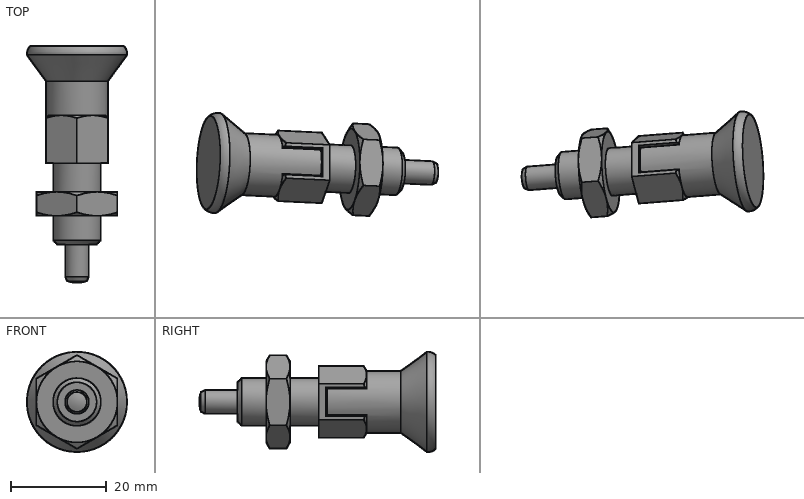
import cadquery as cq
import math

total_length = 49.5

pin_radius = 5.0 / 2
pin_tip_radius = 2.1
pin_dome_height = 0.4
pin_taper_length = 0.9

barrel_radius = 10.0 / 2
barrel_start = 8.0
barrel_chamfer = 0.9

nut_across_flats = 16.95
nut_start = 14.0
nut_thickness = 5.0
sleeve_across_flats = 13.0
sleeve_start = 25.0
sleeve_length = 10.0
sleeve_end = sleeve_start + sleeve_length
corner_bevel_angle = math.radians(30)

shank_radius = sleeve_across_flats / 2
knob_radius = 21.0 / 2
knob_face_radius = 9.75
knob_flare_start = 42.15
knob_rim_start = 47.6
knob_rim_end = 48.1
knob_back_bulge = 0.15

slot_half_width = 3.0
slot_start = sleeve_start + 1.5
slot_gap = 0.3
slot_floor = barrel_radius


def revolve_about_y(profile):
    return profile.close().revolve(360, (0, 0, 0), (0, 1, 0))


def hexagon(across_flats, start, length, bevel_start, bevel_end):
    """Hexagonal prism along Y with conical corner bevels on the chosen ends."""
    flat_radius = across_flats / 2
    corner_radius = flat_radius / math.cos(math.pi / 6)
    bevel_depth = (corner_radius - flat_radius) * math.tan(corner_bevel_angle)
    end = start + length

    prism = (
        cq.Workplane("XZ", origin=(0, start, 0))
        .transformed(rotate=(0, 0, 90))
        .polygon(6, 2 * corner_radius)
        .extrude(-length)
    )
    envelope = cq.Workplane("XY").moveTo(0, start)
    if bevel_start:
        envelope = envelope.lineTo(flat_radius, start).lineTo(corner_radius, start + bevel_depth)
    else:
        envelope = envelope.lineTo(corner_radius, start)
    if bevel_end:
        envelope = envelope.lineTo(corner_radius, end - bevel_depth).lineTo(flat_radius, end)
    else:
        envelope = envelope.lineTo(corner_radius, end)
    return prism.intersect(revolve_about_y(envelope.lineTo(0, end)))


def make_pin_and_barrel():
    """Domed pin stepping up to the chamfered barrel, which ends inside the sleeve."""
    taper_start = pin_dome_height
    taper_end = taper_start + pin_taper_length
    sphere_radius = (pin_tip_radius**2 + pin_dome_height**2) / (2 * pin_dome_height)
    half_angle = math.asin(pin_tip_radius / sphere_radius) / 2
    dome_middle = (
        sphere_radius * math.sin(half_angle),
        sphere_radius * (1 - math.cos(half_angle)),
    )
    return revolve_about_y(
        cq.Workplane("XY")
        .moveTo(0, 0)
        .threePointArc(dome_middle, (pin_tip_radius, taper_start))
        .lineTo(pin_radius, taper_end)
        .lineTo(pin_radius, barrel_start)
        .lineTo(barrel_radius - barrel_chamfer, barrel_start)
        .lineTo(barrel_radius, barrel_start + barrel_chamfer)
        .lineTo(barrel_radius, sleeve_end)
        .lineTo(0, sleeve_end)
    )


def make_knob():
    """Shank flaring into a round knob with a narrow rim and a gently bulged back bevel."""
    return revolve_about_y(
        cq.Workplane("XY")
        .moveTo(0, sleeve_end)
        .lineTo(shank_radius, sleeve_end)
        .lineTo(shank_radius, knob_flare_start)
        .lineTo(knob_radius, knob_rim_start)
        .lineTo(knob_radius, knob_rim_end)
        .sagittaArc((knob_face_radius, total_length), -knob_back_bulge)
        .lineTo(0, total_length)
    )


def slot_blocks(start, half_width):
    """Pair of blocks reaching from the slot floor outwards through the +X and -X flats."""
    depth = knob_radius - slot_floor
    middle_x = slot_floor + depth / 2
    middle_y = (start + sleeve_end) / 2
    return (
        cq.Workplane("XY")
        .pushPoints([(-middle_x, middle_y), (middle_x, middle_y)])
        .rect(depth, sleeve_end - start)
        .extrude(half_width, both=True)
    )


def make_sleeve():
    """Guide sleeve whose slots hold shank tongues with a narrow gap around them."""
    sleeve = hexagon(sleeve_across_flats, sleeve_start, sleeve_length, False, True)
    shank = cq.Workplane("XZ", origin=(0, sleeve_start, 0)).circle(shank_radius).extrude(-sleeve_length)
    tongues = shank.intersect(slot_blocks(slot_start + slot_gap, slot_half_width - slot_gap))
    return sleeve.cut(slot_blocks(slot_start, slot_half_width)).union(tongues)


nut = hexagon(nut_across_flats, nut_start, nut_thickness, True, True)
result = make_pin_and_barrel().union(nut).union(make_sleeve()).union(make_knob())